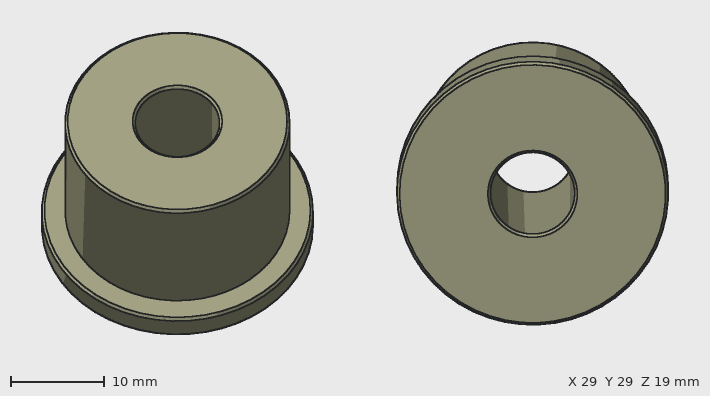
import cadquery as cq

flange_diameter = 29.0
flange_thickness = 3.0
body_diameter = 24.0
total_height = 19.0
bore_diameter = 9.0
edge_chamfer = 0.3


def chamfered_cylinder(diameter, height, edges):
    """Upright cylinder standing on the XY plane, with the selected rims chamfered."""
    cylinder = cq.Workplane("XY").circle(diameter / 2).extrude(height)
    return cylinder.edges(edges).chamfer(edge_chamfer)


flange = chamfered_cylinder(flange_diameter, flange_thickness, "%CIRCLE")
body = chamfered_cylinder(body_diameter, total_height, ">Z")
bushing = flange.union(body)

bore = cq.Workplane("XY").circle(bore_diameter / 2).extrude(total_height)
bushing = bushing.cut(bore)
bore_mouths = cq.selectors.RadiusNthSelector(0)
result = bushing.edges(bore_mouths).chamfer(edge_chamfer)